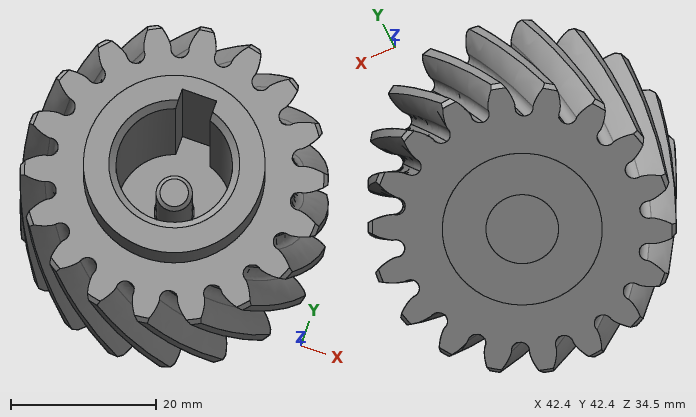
import cadquery as cq
import math

teeth = 18
normal_module = 2.0
pressure_angle = math.radians(20)
helix_angle = math.radians(19.5283)
pitch_radius = teeth * normal_module / (2 * math.cos(helix_angle))
tip_radius = 21.2
transverse_pressure_angle = math.atan(math.tan(pressure_angle) / math.cos(helix_angle))
base_radius = pitch_radius * math.cos(transverse_pressure_angle)
root_radius = 16.4
face_width = 28.0
twist_degrees = math.degrees(face_width * math.tan(helix_angle) / pitch_radius)
tooth_pitch_degrees = 360 / teeth
top_gap_angle = 7.1
tip_chamfer = 0.6
cutter_overrun = 1.0
flank_points = 7

hub_radius = 12.5
hub_height = 6.5
bore_radius = 8.0
bore_chamfer = 1.0
key_width = 5.0
key_top = 10.3

disc_radius = 11.0
disc_thickness = 4.0
clearance_radius = 2.75
shank_radius = 2.5
screw_length = 16.0
screw_tip_chamfer = 0.55
head_radius = 5.0
head_height = head_radius - shank_radius


def polar(radius, angle):
    return (radius * math.cos(angle), radius * math.sin(angle))


def involute(angle):
    return math.tan(angle) - angle


def gap_half_angle(radius):
    """Half the angle a tooth gap spans between its involute flanks, from the base circle outwards."""
    local = math.acos(min(1.0, base_radius / radius))
    at_pitch = math.pi / (2 * teeth)
    return at_pitch - involute(transverse_pressure_angle) + involute(local)


def tooth_gap():
    """One helical tooth gap, wound clockwise going up and centred on +X at its bottom end."""
    reach = tip_radius + cutter_overrun
    radii = [base_radius + (reach - base_radius) * (i / (flank_points - 1)) ** 2
             for i in range(flank_points)]
    left = [polar(r, gap_half_angle(r)) for r in radii]
    right = [(x, -y) for x, y in left]
    foot_x, foot_y = left[0]
    root_depth = foot_x - root_radius
    round_radius = (root_depth ** 2 + foot_y ** 2) / (2 * root_depth)
    half_sweep = math.atan2(foot_y, round_radius - root_depth) / 2
    middle_x = root_radius + round_radius * (1 - math.cos(half_sweep))
    middle_y = round_radius * math.sin(half_sweep)
    profile = (
        cq.Workplane("XY")
        .moveTo(*right[-1])
        .lineTo(*left[-1])
        .spline(left[-2::-1], includeCurrent=True)
        .threePointArc((middle_x, middle_y), (root_radius, 0))
        .threePointArc((middle_x, -middle_y), right[0])
        .spline(right[1:], includeCurrent=True)
        .close()
    )
    return profile.twistExtrude(face_width, -twist_degrees)


def toothed_rim():
    blank = (
        cq.Workplane("XY")
        .circle(tip_radius)
        .extrude(face_width)
        .faces("<Z or >Z")
        .edges()
        .chamfer(tip_chamfer)
    )
    first_gap = tooth_gap().rotate((0, 0, 0), (0, 0, 1), top_gap_angle + twist_degrees)
    gaps = [first_gap.rotate((0, 0, 0), (0, 0, 1), i * tooth_pitch_degrees).val()
            for i in range(teeth)]
    return cq.Workplane(blank.val().cut(*gaps))


def make_gear():
    height = face_width + hub_height
    hub = cq.Workplane("XY").workplane(offset=face_width).circle(hub_radius).extrude(hub_height)
    bore = cq.Workplane("XY").circle(bore_radius).extrude(height)
    bore_mouth = (
        cq.Workplane("XY")
        .workplane(offset=height - bore_chamfer)
        .circle(bore_radius)
        .workplane(offset=bore_chamfer)
        .circle(bore_radius + bore_chamfer)
        .loft()
    )
    keyway = cq.Workplane("XY").rect(key_width, key_top, centered=(True, False)).extrude(height)
    disc_recess = cq.Workplane("XY").circle(disc_radius).extrude(disc_thickness)
    return toothed_rim().union(hub).cut(bore).cut(bore_mouth).cut(keyway).cut(disc_recess)


def make_disc():
    """Disc under the bore, with a clearance hole countersunk from below for the screw head."""
    countersink_top = head_radius - clearance_radius
    return (
        cq.Workplane("XZ")
        .moveTo(head_radius, 0)
        .lineTo(disc_radius, 0)
        .lineTo(disc_radius, disc_thickness)
        .lineTo(clearance_radius, disc_thickness)
        .lineTo(clearance_radius, countersink_top)
        .close()
        .revolve(360, (0, 0, 0), (0, 1, 0))
    )


def make_screw():
    """Countersunk screw pointing up, its head flush with the underside of the disc."""
    return (
        cq.Workplane("XZ")
        .moveTo(0, 0)
        .lineTo(head_radius, 0)
        .lineTo(shank_radius, head_height)
        .lineTo(shank_radius, screw_length - screw_tip_chamfer)
        .lineTo(shank_radius - screw_tip_chamfer, screw_length)
        .lineTo(0, screw_length)
        .close()
        .revolve(360, (0, 0, 0), (0, 1, 0))
    )


gear = make_gear()
disc = make_disc()
screw = make_screw()

result = cq.Compound.makeCompound([gear.solids().val(), disc.val(), screw.val()])